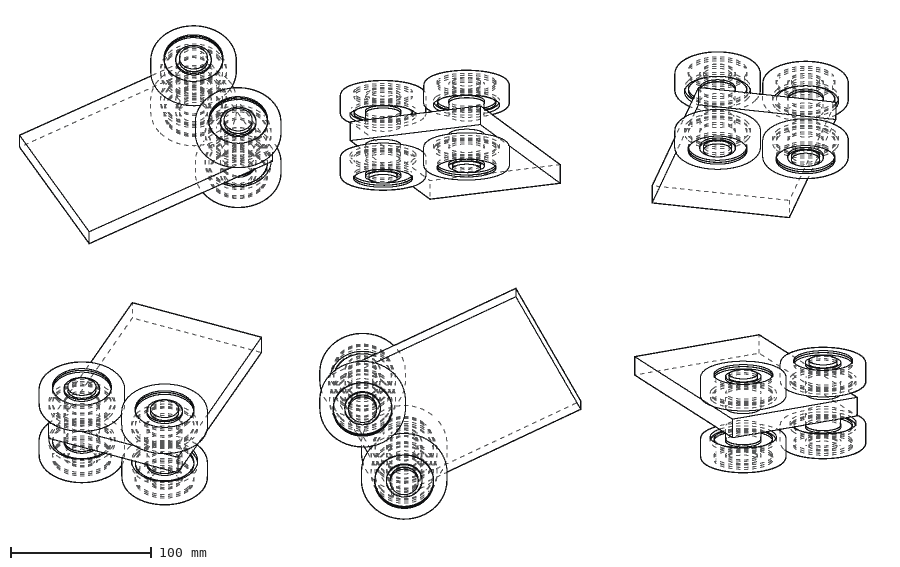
import cadquery as cq

plate_width = 100.0
plate_length = 150.0
plate_thickness = 14.0

overall_length = 162.5
overall_height = 64.5
wheel_diameter = 61.0
wheel_pitch = 64.0
wheel_thickness = 17.0
wheel_gap = 8.0
outer_rim_fillet = 2.6
inner_rim_fillet = 1.6
lip_bore_diameter = 42.0

bearing_diameter = 47.0
bearing_setback = 1.5
outer_ring_bore = 41.6
inner_ring_diameter = 25.4
shield_setback = 1.6

axle_diameter = 25.0
pin_diameter = 20.0
bore_mouth_diameter = 23.5
bearing_fillet = (bore_mouth_diameter - pin_diameter) / 2

axle_end = overall_height / 2
inner_face = plate_thickness / 2 + wheel_gap
outer_face = inner_face + wheel_thickness
bearing_inner_face = inner_face + bearing_setback
bearing_outer_face = outer_face - bearing_setback
shield_inner_face = bearing_inner_face + shield_setback
shield_outer_face = bearing_outer_face - shield_setback

axle_y = overall_length - wheel_diameter / 2


def disc(diameter, bottom, top):
    """Upright cylinder on the Z axis between two levels."""
    return cq.Workplane("XY").workplane(offset=bottom).circle(diameter / 2).extrude(top - bottom)


def make_tyre():
    """Upper tyre with rounded rims and a seat for the bearing that is open toward the plate."""
    tyre = disc(wheel_diameter, inner_face, outer_face)
    tyre = tyre.faces(">Z").edges().fillet(outer_rim_fillet)
    tyre = tyre.faces("<Z").edges().fillet(inner_rim_fillet)
    tyre = tyre.cut(disc(bearing_diameter, inner_face, bearing_outer_face))
    return tyre.cut(disc(lip_bore_diameter, inner_face, outer_face))


def make_bearing():
    """Upper bearing: two rings joined by a set-back shield, rounded at the seat and at the bore."""
    outer_ring = disc(bearing_diameter, bearing_inner_face, bearing_outer_face)
    outer_ring = outer_ring.faces("<Z").edges().fillet(bearing_fillet)
    outer_ring = outer_ring.cut(disc(outer_ring_bore, bearing_inner_face, bearing_outer_face))

    inner_ring = disc(inner_ring_diameter, bearing_inner_face, bearing_outer_face)
    shield = disc(outer_ring_bore, shield_inner_face, shield_outer_face)
    core = inner_ring.union(shield).cut(disc(pin_diameter, bearing_inner_face, bearing_outer_face))
    core = core.faces(">Z").edges(cq.selectors.RadiusNthSelector(0)).fillet(bearing_fillet)
    return outer_ring.union(core)


def make_axle():
    """Upper half of an axle, from the mid-plane of the plate to the end of its pin."""
    shank = disc(axle_diameter, 0, bearing_inner_face)
    pin = disc(pin_diameter, bearing_inner_face, axle_end)
    return shank.union(pin)


plate = cq.Workplane("XY").box(plate_width, plate_length, plate_thickness)
plate = plate.translate((0, plate_length / 2, 0))

upper_roller = make_tyre().union(make_bearing()).union(make_axle())
roller = upper_roller.union(upper_roller.mirror("XY"))

result = plate
for side in (-1, 1):
    result = result.union(roller.translate((side * wheel_pitch / 2, axle_y, 0)))